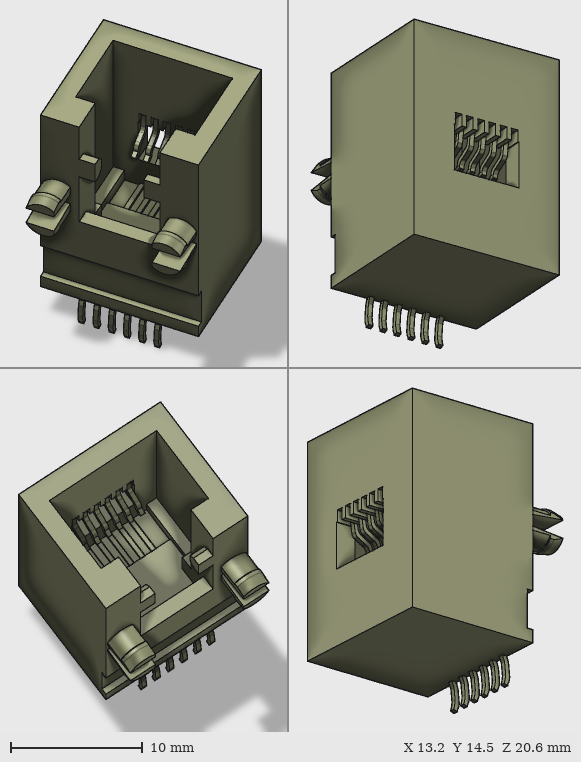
import cadquery as cq


OVERALL_HEIGHT = 20.55

HOUSING_WIDTH = 13.21
HOUSING_DEPTH = 11.5
HOUSING_HEIGHT = 18.1
GROOVE_BOTTOM = 1.09
GROOVE_TOP = 4.32
GROOVE_DEPTH = 0.53

CAVITY_WIDTH = 9.99
CAVITY_FRONT = 2.92
BACK_WALL = 1.77
CAVITY_BACK = HOUSING_DEPTH - BACK_WALL
LEDGE_TOP = 4.79
WELL_WIDTH = 8.1
WELL_FLOOR = 4.13
PAD_DEPTH = 1.15
PAD_TOP = 6.37
RECESS_FRONT = 6.58
RECESS_FLOOR = 3.75

LATCH_WIDTH = 6.75
SILL_TOP = 8.14
SILL_DEPTH = 1.25
TAB_GAP = 4.07
TAB_TOP = 14.71
TAB_HEIGHT = 1.85
TAB_DEPTH = 1.17
TAB_CHAMFER = 0.47

CONTACT_COUNT = 6
SPRING_SPAN = 5.1
WIRE_WIDTH = 0.41
WINDOW_WIDTH = 5.84
WINDOW_TOP = 10.23
CONTACT_SLOT_WIDTH = 0.6
CONTACT_SLOT_TOP = 11.22
SPRING_SHIFT = 0.29
SPRING_ANCHOR = 0.72

PIN_SPAN = 6.35
PIN_BOTTOM = HOUSING_HEIGHT - OVERALL_HEIGHT
PIN_ROOT = 0.2

PEG_X = 5.08
PEG_Z = 10.21
PEG_LENGTH = 3.0
PEG_RADIUS = 1.6
HEAD_RADIUS = 1.75
TIP_RADIUS = 1.56
HEAD_START = 1.77
TAPER_START = 2.14
PEG_INNER_FLAT = 4.1
PEG_OUTER_FLAT = 6.45
SPLIT_ROOT = 0.95
SPLIT_TIP = 1.5


def block(width, y_range, z_range, x_center=0):
    """Box centred on x_center, spanning the given Y and Z ranges."""
    (y0, y1), (z0, z1) = y_range, z_range
    return cq.Workplane("XY").box(width, y1 - y0, z1 - z0, centered=(True, False, False)).translate(
        (x_center, y0, z0)
    )


def row(span):
    """Evenly spaced X positions of the contacts over the given span, centred on X = 0."""
    pitch = span / (CONTACT_COUNT - 1)
    return [(i - (CONTACT_COUNT - 1) / 2) * pitch for i in range(CONTACT_COUNT)]


def side_profile(start):
    """Sketch in the YZ plane, begun at a (Y, Z) point."""
    return cq.Workplane("YZ").moveTo(*start)


def housing():
    body = block(HOUSING_WIDTH, (0, HOUSING_DEPTH), (0, HOUSING_HEIGHT))
    groove = block(HOUSING_WIDTH, (0, GROOVE_DEPTH), (GROOVE_BOTTOM, GROOVE_TOP))
    return body.cut(groove)


def cavity():
    pad_back = CAVITY_FRONT + PAD_DEPTH
    over_pads = block(CAVITY_WIDTH, (CAVITY_FRONT, CAVITY_BACK), (PAD_TOP, HOUSING_HEIGHT))
    over_ledges = block(CAVITY_WIDTH, (pad_back, CAVITY_BACK), (LEDGE_TOP, HOUSING_HEIGHT))
    well = block(WELL_WIDTH, (pad_back, CAVITY_BACK), (WELL_FLOOR, HOUSING_HEIGHT))
    recess = block(WELL_WIDTH, (RECESS_FRONT, CAVITY_BACK), (RECESS_FLOOR, HOUSING_HEIGHT))
    latch_well = block(LATCH_WIDTH, (SILL_DEPTH, pad_back), (WELL_FLOOR, HOUSING_HEIGHT))
    latch_slot = block(LATCH_WIDTH, (0, SILL_DEPTH), (SILL_TOP, HOUSING_HEIGHT))
    return over_pads.union(over_ledges).union(well).union(recess).union(latch_well).union(latch_slot)


def latch_tabs():
    """Pair of tabs narrowing the latch slot, chamfered along their rear edges."""
    bar = block(LATCH_WIDTH, (0, TAB_DEPTH), (TAB_TOP - TAB_HEIGHT, TAB_TOP))
    bar = bar.faces(">Y").edges("|X").chamfer(TAB_CHAMFER)
    return bar.cut(block(TAB_GAP, (0, TAB_DEPTH), (0, HOUSING_HEIGHT)))


def back_openings():
    back = (CAVITY_BACK, HOUSING_DEPTH)
    openings = block(WINDOW_WIDTH, back, (PAD_TOP, WINDOW_TOP))
    for x in row(SPRING_SPAN):
        openings = openings.union(block(CONTACT_SLOT_WIDTH, back, (PAD_TOP, CONTACT_SLOT_TOP), x))
    return openings


def spring():
    """Bent contact hanging from the top of its slot, with a free tip inside the cavity."""
    tip = (8.05, 8.15)
    kink = (8.53, 8.45)
    bulge = (8.63, 8.85)
    ramp_start = (8.92, 9.08)
    ramp_end = (9.62, 9.47)
    bend = (9.78, 9.62)
    leg_start = (9.88, 9.82)
    leg_end = (10.21, CONTACT_SLOT_TOP + SPRING_ANCHOR)

    def lower(point):
        return (point[0] + SPRING_SHIFT, point[1] - SPRING_SHIFT)

    outline = (
        side_profile(tip)
        .lineTo(*kink)
        .threePointArc(bulge, ramp_start)
        .lineTo(*ramp_end)
        .threePointArc(bend, leg_start)
        .lineTo(*leg_end)
        .lineTo(*lower(leg_end))
        .lineTo(*lower(leg_start))
        .threePointArc(lower(bend), lower(ramp_end))
        .lineTo(*lower(ramp_start))
        .threePointArc(lower(bulge), lower(kink))
        .lineTo(*lower(tip))
        .close()
    )
    return outline.extrude(WIRE_WIDTH / 2, both=True)


def floor_wire():
    """Straight wire half sunk into the floor of the recess."""
    half = WIRE_WIDTH / 2
    return block(WIRE_WIDTH, (RECESS_FRONT, CAVITY_BACK), (RECESS_FLOOR - half, RECESS_FLOOR + half))


def solder_pin():
    """Pin bowed forward below the housing, with a back-turned slanted tip."""
    front_exit = (0.02, -0.1)
    front_knee = (-0.12, -0.53)
    front_bow = (-0.23, -1.55)
    front_curl = (-0.2, -1.93)
    front_curl_end = (-0.08, -2.25)
    tip = (-0.05, PIN_BOTTOM)
    rear_tip = (0.3, -2.32)
    rear_curl = (0.2, -1.93)
    rear_bow = (0.16, -1.55)
    rear_knee = (0.27, -0.53)
    rear_exit = (0.47, 0)
    outline = (
        side_profile((front_exit[0], PIN_ROOT))
        .lineTo(*front_exit)
        .lineTo(*front_knee)
        .lineTo(*front_bow)
        .threePointArc(front_curl, front_curl_end)
        .lineTo(*tip)
        .lineTo(*rear_tip)
        .threePointArc(rear_curl, rear_bow)
        .lineTo(*rear_knee)
        .lineTo(*rear_exit)
        .lineTo(rear_exit[0], PIN_ROOT)
        .close()
    )
    return outline.extrude(WIRE_WIDTH / 2, both=True)


def peg():
    """Snap peg on the +X side: turned shank and barbed head, flattened on both sides and split."""
    turned = (
        cq.Workplane("XY")
        .lineTo(PEG_RADIUS, 0)
        .lineTo(PEG_RADIUS, -HEAD_START)
        .lineTo(HEAD_RADIUS, -HEAD_START)
        .lineTo(HEAD_RADIUS, -TAPER_START)
        .lineTo(TIP_RADIUS, -PEG_LENGTH)
        .lineTo(0, -PEG_LENGTH)
        .close()
        .revolve(360, (0, 0), (0, 1))
        .translate((PEG_X, 0, PEG_Z))
    )
    flat_width = PEG_OUTER_FLAT - PEG_INNER_FLAT
    flat_center = (PEG_OUTER_FLAT + PEG_INNER_FLAT) / 2
    z_range = (PEG_Z - HEAD_RADIUS, PEG_Z + HEAD_RADIUS)
    flattened = turned.intersect(block(flat_width, (-PEG_LENGTH, 0), z_range, flat_center))
    split = (
        side_profile((0, PEG_Z - SPLIT_ROOT / 2))
        .lineTo(0, PEG_Z + SPLIT_ROOT / 2)
        .lineTo(-PEG_LENGTH, PEG_Z + SPLIT_TIP / 2)
        .lineTo(-PEG_LENGTH, PEG_Z - SPLIT_TIP / 2)
        .close()
        .extrude(HOUSING_WIDTH)
    )
    return flattened.cut(split)


result = housing().cut(cavity()).cut(back_openings()).union(latch_tabs())
for x in row(SPRING_SPAN):
    result = result.union(spring().translate((x, 0, 0)))
    result = result.union(floor_wire().translate((x, 0, 0)))
for x in row(PIN_SPAN):
    result = result.union(solder_pin().translate((x, 0, 0)))
right_peg = peg()
result = result.union(right_peg).union(right_peg.mirror("YZ"))